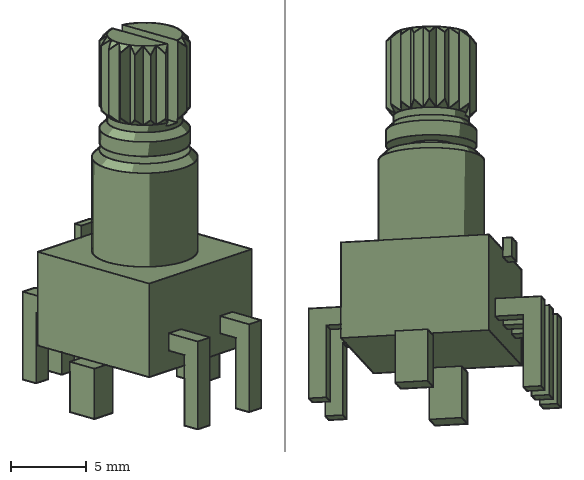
import cadquery as cq
import math


body_side = 10.0
body_height = 6.5
half_body = body_side / 2

leg_bottom = -3.5
pin_size = 1.2
pin_pitch = 2.5
pin_top = 2.6
left_pin_reach = 3.1
right_pin_reach = 2.6

tab_width = 2.2
tab_depth = 1.8
tab_reach = 1.1

key_depth = 0.6
key_width = 1.5
key_rise = 0.8
key_drop = 0.5

bushing_diameter = 7.0
bushing_height = 7.0
neck_diameter = 3.0
neck_height = 0.5
collar_diameter = 6.0
collar_height = 1.5
chamfer = 0.5
core_diameter = 5.0
core_height = 0.5

knurl_diameter = 6.0
knurl_height = 5.5
tooth_count = 18
slot_width = 1.0
slot_depth = 5.7

bushing_top = body_height + bushing_height
collar_bottom = bushing_top + neck_height
collar_top = collar_bottom + collar_height
knurl_bottom = collar_top + core_height
shaft_top = knurl_bottom + knurl_height


def block(x_range, y_range, z_range):
    """Box spanning the given (low, high) ranges."""
    lows, highs = zip(x_range, y_range, z_range)
    sizes = [high - low for low, high in zip(lows, highs)]
    return cq.Workplane("XY").box(*sizes, centered=False).translate(lows)


def cylinder(diameter, bottom, top):
    """Cylinder on the Z axis."""
    return cq.Workplane("XY", origin=(0, 0, bottom)).circle(diameter / 2).extrude(top - bottom)


def bent_pin(side, reach, y_center):
    """L-shaped pin leaving the left (side = -1) or right (side = 1) wall and turning down."""
    wall = side * half_body
    tip = side * (half_body + reach)
    bend = tip - side * pin_size
    outline = [
        (wall, pin_top),
        (tip, pin_top),
        (tip, leg_bottom),
        (bend, leg_bottom),
        (bend, pin_top - pin_size),
        (wall, pin_top - pin_size),
    ]
    profile = cq.Workplane("XZ", origin=(0, y_center, 0)).polyline(outline).close()
    return profile.extrude(pin_size / 2, both=True)


def mounting_tab(side):
    """Straight tab below the housing, partly outside its front or back edge."""
    outer = side * (half_body + tab_reach)
    y_range = sorted((outer, outer - side * tab_depth))
    return block((-tab_width / 2, tab_width / 2), y_range, (leg_bottom, 0))


def locating_key():
    return block(
        (-half_body - key_depth, -half_body),
        (-key_width / 2, key_width / 2),
        (body_height - key_drop, body_height + key_rise),
    )


def knurled_end():
    """Star-shaped prism with V grooves down to the core, chamfered at both ends."""
    points = []
    for i in range(2 * tooth_count):
        radius = (knurl_diameter if i % 2 == 0 else core_diameter) / 2
        angle = math.pi * i / tooth_count
        points.append((radius * math.cos(angle), radius * math.sin(angle)))
    star = cq.Workplane("XY", origin=(0, 0, knurl_bottom)).polyline(points).close().extrude(knurl_height)
    envelope = cylinder(knurl_diameter, knurl_bottom, shaft_top).faces("<Z or >Z").chamfer(chamfer)
    return star.intersect(envelope)


def screwdriver_slot():
    return block(
        (-knurl_diameter, knurl_diameter),
        (-slot_width / 2, slot_width / 2),
        (shaft_top - slot_depth, shaft_top),
    )


result = block((-half_body, half_body), (-half_body, half_body), (0, body_height))
result = result.union(cylinder(bushing_diameter, body_height, bushing_top).faces(">Z").chamfer(chamfer))
result = result.union(cylinder(neck_diameter, bushing_top, collar_bottom))
result = result.union(cylinder(collar_diameter, collar_bottom, collar_top).faces(">Z").chamfer(chamfer))
result = result.union(cylinder(core_diameter, collar_top, knurl_bottom))
result = result.union(knurled_end())
result = result.cut(screwdriver_slot())

for pin_y in (-pin_pitch, 0, pin_pitch):
    result = result.union(bent_pin(-1, left_pin_reach, pin_y))
for pin_y in (-pin_pitch, pin_pitch):
    result = result.union(bent_pin(1, right_pin_reach, pin_y))
for tab_side in (-1, 1):
    result = result.union(mounting_tab(tab_side))
result = result.union(locating_key())